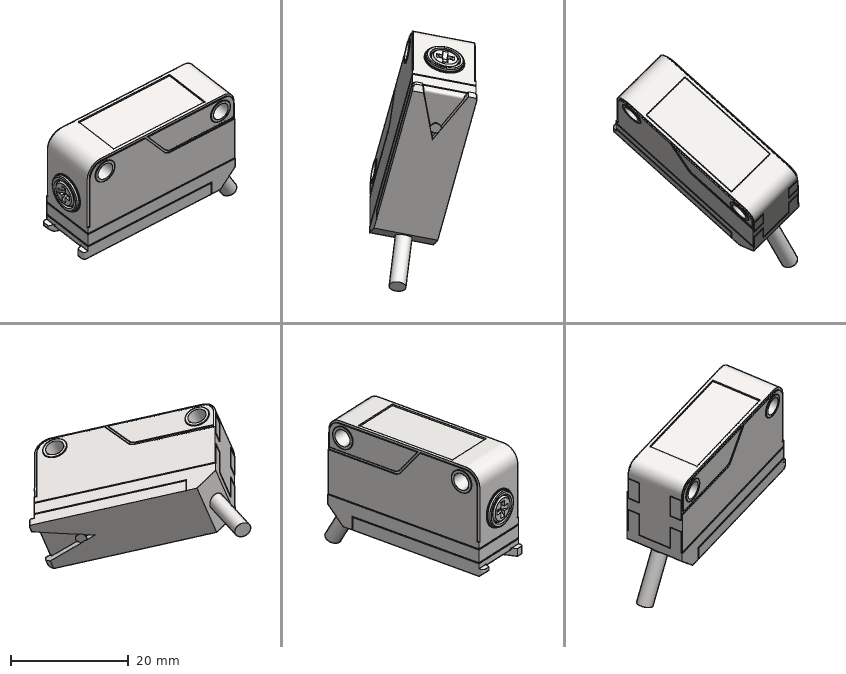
import cadquery as cq
import math

core_width = 10.7
housing_width = 11.15
housing_back = 32.25
housing_top = 20.15
base_height = 5.2
front_radius = 3.1
back_radius = 2.38

panel_inset = 0.45
panel_back_inset = 0.3
panel_front_foot = 6.6
strip_low = 13.9
strip_width = 0.53
strip_head_y = 12.65
strip_run_per_rise = 0.8
strip_bend_radius = 1.5

pad_inner = 3.1
pad_outer = 5.32
pad_thickness = 0.1
pad_heights = ((base_height, 9.95), (12.57, 17.05))

base_back = housing_back + pad_thickness
tail_chamfer = 3.32
plate_back = 27.18
plate_height = 2.53
seam_width = 0.15
seam_depth = 0.08

foot_reach = 0.95
foot_height = 1.5
foot_ramp_height = 0.83
foot_corner_radius = 0.55
recess_mouth_half = 4.0
recess_root_half = 3.62
lip_half = 3.5
lip_height = 1.02
lip_radius = 0.45
nose_radius = 1.0
nose_top_radius = 0.45

eyelet_span = 11.4
eyelet_z = 17.2
eyelet_positions = (3.7, 29.05)
eyelet_diameter = 4.35
eyelet_chamfer = 0.08
mouth_diameter = 3.2
bore_diameter = 2.35

window_width = 9.48
window_front = 6.3
window_back = 26.35
window_depth = 0.3

dial_z = 10.87
flange_diameter = 7.05
flange_reach = 0.2
collar_diameter = 6.65
collar_reach = 0.75
collar_edge_diameter = 6.23
collar_edge_height = 0.15
dial_groove_diameter = 5.32
screw_diameter = 4.85
screw_reach = 0.83
screw_face_diameter = 4.2
cross_span = 3.1
cross_width = 0.9
cross_depth = 0.83
cross_floor_diameter = 1.0

cable_diameter = 2.9
cable_angle = 60.5
cable_end_y = 35.45
cable_end_z = -6.65
cable_end_slope = 22.7
cable_length = 11.32


def block(x_size, y_min, y_max, z_min, z_max):
    """Box centred on X = 0 between the given Y and Z limits."""
    size = (x_size, y_max - y_min, z_max - z_min)
    return cq.Workplane("XY").box(*size, centered=(True, False, False)).translate((0, y_min, z_min))


def front_disc(diameter, reach, depth=0.0):
    """Cylinder on the dial axis from `depth` inside the front face to `reach` ahead of it."""
    plane = cq.Plane(origin=(0, depth, dial_z), xDir=(1, 0, 0), normal=(0, -1, 0))
    return cq.Workplane(plane).circle(diameter / 2).extrude(depth + reach)


def rounded_body(width, front_inset=0.0, back_inset=0.0, top_inset=0.0):
    """Housing block, set in from the core outline, with both upper corners rounded."""
    y_max = housing_back - back_inset
    body = block(width, front_inset, y_max, base_height, housing_top - top_inset)
    body = body.edges("|X and >Z and <Y").fillet(front_radius - front_inset)
    return body.edges("|X and >Z and >Y").fillet(back_radius - top_inset)


def upper_panel_prism(low, head_y):
    """Region behind a bent line that runs along Z = `low`, then slants up to the panel top at `head_y`."""
    beyond = panel_inset
    panel_top = housing_top - panel_inset
    bend_y = head_y + strip_run_per_rise * (panel_top - low)
    outline = (
        cq.Workplane("YZ")
        .moveTo(housing_back + beyond, low)
        .lineTo(bend_y, low)
        .lineTo(head_y - strip_run_per_rise * beyond, panel_top + beyond)
        .lineTo(housing_back + beyond, panel_top + beyond)
        .close()
    )
    prism = outline.extrude(housing_width / 2, both=True)
    bend = cq.selectors.NearestToPointSelector((0, bend_y, low))
    return prism.edges(bend).fillet(strip_bend_radius)


def make_housing():
    """Core with raised side panels, parted by a bent strip, and a window sunk into the top."""
    core = rounded_body(core_width)
    panel = rounded_body(housing_width, panel_inset, panel_back_inset, panel_inset)
    strip_outer = upper_panel_prism(strip_low, strip_head_y)
    strip_inner = upper_panel_prism(strip_low + strip_width, strip_head_y + strip_width)
    lower_panel = panel.cut(strip_outer)
    upper_panel = panel.intersect(strip_inner)
    lower_front = block(housing_width, 0, panel_inset, base_height, panel_front_foot)
    lower_back = block(housing_width, housing_back - panel_back_inset, housing_back, base_height, strip_low)
    housing = core.union(lower_panel).union(upper_panel).union(lower_front).union(lower_back)
    window = block(window_width, window_front, window_back, housing_top - window_depth, housing_top)
    return housing.cut(window)


def add_back_pads(body):
    """Pads on both sides of the back face, one pair per height range."""
    for z_low, z_high in pad_heights:
        pads = block(2 * pad_outer, housing_back, base_back, z_low, z_high)
        gap = block(2 * pad_inner, housing_back, base_back, z_low, z_high)
        body = body.union(pads.cut(gap))
    return body


def make_base():
    """Base block with a sloping tail for the cable exit."""
    base = block(housing_width, 0, base_back, 0, base_height)
    return base.edges("|X and >Y and <Z").chamfer(tail_chamfer)


def cut_seams(body):
    """Shallow grooves that part the housing, the base and the clip plate."""
    inner_width = housing_width - 2 * seam_depth
    for z_middle, y_end in ((base_height, base_back), (plate_height, plate_back)):
        z_low = z_middle - seam_width / 2
        z_high = z_middle + seam_width / 2
        ring = block(housing_width, 0, y_end, z_low, z_high)
        ring = ring.cut(block(inner_width, seam_depth, y_end, z_low, z_high))
        body = body.cut(ring)
    upright = block(housing_width, plate_back - seam_width, plate_back, 0, plate_height)
    upright = upright.cut(block(inner_width, plate_back - seam_width, plate_back, 0, plate_height))
    return body.cut(upright)


def add_feet(body):
    """Two feet ahead of the front face, parted by a recess that narrows to a point below the plate lip."""
    feet = block(housing_width, -foot_reach, foot_reach, 0, foot_height)
    feet = feet.edges("|Z and <Y").fillet(foot_corner_radius)
    ramp = (
        cq.Workplane("YZ")
        .polyline([(0, 0), (-foot_reach, 0), (-foot_reach, foot_ramp_height)])
        .close()
        .extrude(-housing_width / 2)
    )
    body = body.union(feet.cut(ramp))

    taper_depth = recess_mouth_half * foot_reach / (recess_mouth_half - recess_root_half)
    tip_y = taper_depth - foot_reach
    recess = (
        cq.Workplane("XY")
        .polyline([(-recess_mouth_half, -foot_reach), (recess_mouth_half, -foot_reach), (0, tip_y)])
        .close()
        .extrude(foot_height)
    )
    lip = block(2 * lip_half, 0, tip_y, lip_height, foot_height)
    lip = lip.edges("|X and <Y and <Z").fillet(lip_radius)
    nose_y = tip_y * (1 - nose_radius / recess_root_half)
    nose = cq.Solid.makeCone(nose_radius, nose_top_radius, lip_height, pnt=cq.Vector(0, nose_y, 0))
    return body.cut(recess.cut(lip).cut(cq.Workplane(nose)))


def add_eyelets(body):
    """Through bosses whose bore tapers from each mouth to the middle of the part."""
    for y in eyelet_positions:
        side = cq.Workplane("YZ", origin=(-eyelet_span / 2, y, eyelet_z))
        boss = side.circle(eyelet_diameter / 2).extrude(eyelet_span)
        body = body.union(boss.faces("<X or >X").chamfer(eyelet_chamfer))
        for end in (-1, 1):
            mouth = cq.Solid.makeCone(
                mouth_diameter / 2,
                bore_diameter / 2,
                eyelet_span / 2,
                pnt=cq.Vector(end * eyelet_span / 2, y, eyelet_z),
                dir=cq.Vector(-end, 0, 0),
            )
            body = body.cut(cq.Workplane(mouth))
    return body


def add_dial(body):
    """Flanged collar around a cross-slotted screw, with a ring groove between them."""
    body = body.union(front_disc(flange_diameter, flange_reach, flange_reach))
    collar = front_disc(collar_diameter, collar_reach, flange_reach)
    collar_edge_width = (collar_diameter - collar_edge_diameter) / 2
    body = body.union(collar.faces("<Y").chamfer(collar_edge_height, collar_edge_width))
    body = body.cut(front_disc(dial_groove_diameter, collar_reach))
    screw = front_disc(screw_diameter, screw_reach, flange_reach)
    body = body.union(screw.faces("<Y").chamfer((screw_diameter - screw_face_diameter) / 2))

    floor_radius = cross_floor_diameter / 2
    arm_outline = (
        cq.Workplane("XY")
        .polyline([
            (0, -screw_reach),
            (cross_span / 2, -screw_reach),
            (floor_radius, cross_depth - screw_reach),
            (0, cross_depth - screw_reach),
        ])
        .close()
    )
    arm = arm_outline.extrude(cross_width / 2, both=True).translate((0, 0, dial_z))
    for turn in range(4):
        body = body.cut(arm.rotate((0, 0, dial_z), (0, 1, dial_z), 90 * turn))
    return body.cut(front_disc(cross_floor_diameter, screw_reach, cross_depth - screw_reach))


def add_cable(body):
    """Straight cable, slanting down and back, with its end cut on a slight skew."""
    angle = math.radians(cable_angle)
    direction = cq.Vector(0, -math.cos(angle), math.sin(angle))
    end = cq.Vector(0, cable_end_y, cable_end_z)
    overrun = cable_diameter / 2
    start = end - direction * overrun
    cable = cq.Workplane(cq.Solid.makeCylinder(cable_diameter / 2, cable_length, start, direction))
    trim_size = 2 * cable_diameter
    trim = cq.Workplane("XY").box(trim_size, trim_size, trim_size).translate((0, 0, -trim_size / 2))
    trim = trim.rotate((0, 0, 0), (1, 0, 0), cable_end_slope).translate(end)
    return body.union(cable.cut(trim))


result = make_housing().union(make_base())
result = add_back_pads(result)
result = cut_seams(result)
result = add_feet(result)
result = add_eyelets(result)
result = add_dial(result)
result = add_cable(result)